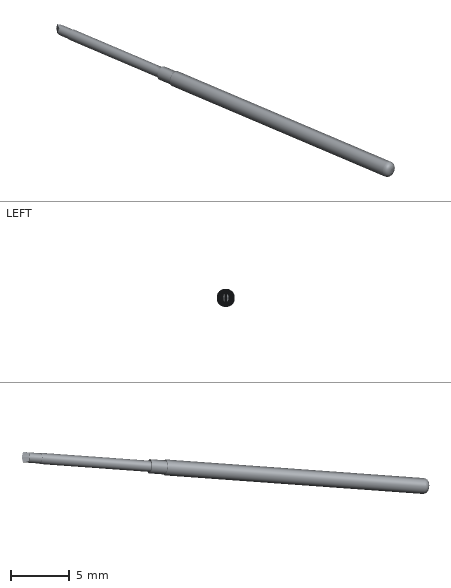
import cadquery as cq

total_length = 37.09
barrel_diameter = 1.37
collar_diameter = 1.22
plunger_diameter = 0.965
tip_diameter = 0.89

tip_length = 1.7
plunger_length = 9.97
collar_length = 1.4
plunger_start = tip_length
collar_start = plunger_start + plunger_length
barrel_start = collar_start + collar_length

end_radius = 0.455
rim_radius = 0.07

blade_length = 0.57
blade_side_slope = 1.7
blade_ridge_slope = 0.25


def rod(start, end, diameter):
    """Round section along X between two stations."""
    return cq.Workplane("YZ", origin=(start, 0, 0)).circle(diameter / 2).extrude(end - start)


def make_blade():
    """Blade with four flat sides that meet at the point, trimmed to the tip diameter."""
    cutter_size = 4 * blade_length
    blade = rod(0, blade_length, tip_diameter)
    for y_side in (1, -1):
        for z_side in (1, -1):
            outward = (-1, y_side * blade_side_slope, z_side * blade_ridge_slope)
            side_plane = cq.Plane(origin=(0, 0, 0), normal=outward)
            waste = cq.Workplane(side_plane).rect(cutter_size, cutter_size).extrude(cutter_size)
            blade = blade.cut(waste)
    return blade


def make_barrel():
    """Barrel with a rounded closed end and a lightly rounded rim."""
    barrel = rod(barrel_start, total_length, barrel_diameter)
    barrel = barrel.faces(">X").edges().fillet(end_radius)
    return barrel.faces("<X").edges().fillet(rim_radius)


result = (
    make_blade()
    .union(rod(blade_length, plunger_start, tip_diameter))
    .union(rod(plunger_start, collar_start, plunger_diameter))
    .union(rod(collar_start, barrel_start, collar_diameter))
    .union(make_barrel())
)